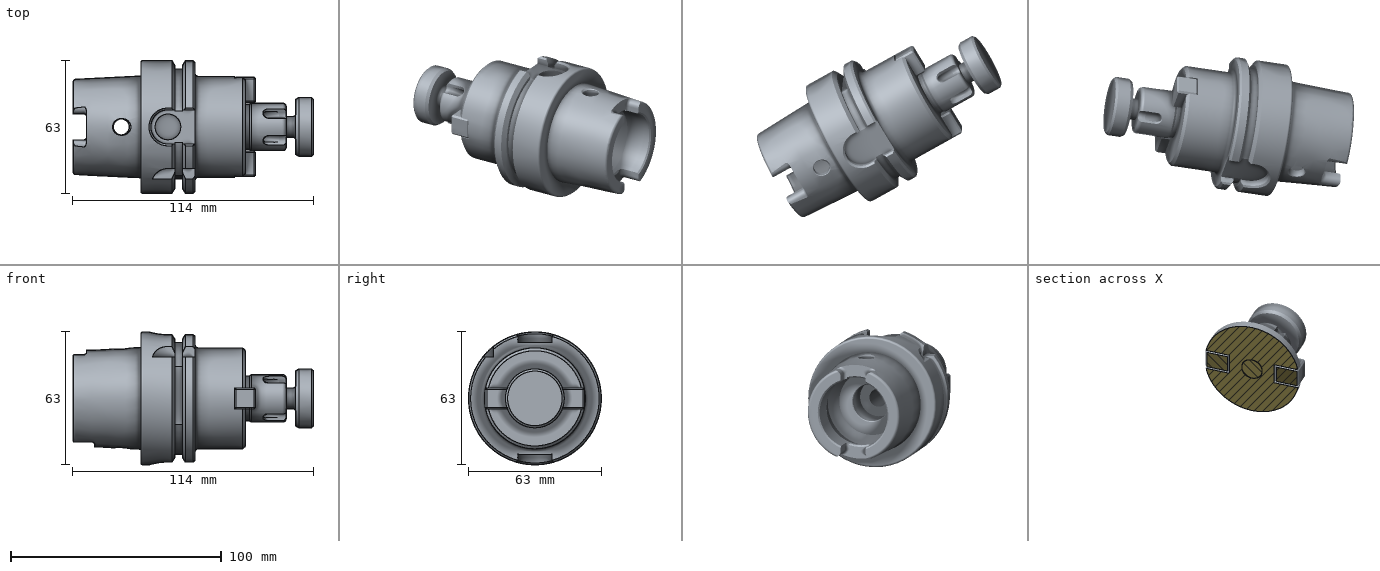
import cadquery as cq
import math

SHANK_LENGTH = 32.0
SHANK_BASE_RADIUS = 24.2
TAPER_SLOPE = 0.05
SHANK_MOUTH_RADIUS = SHANK_BASE_RADIUS - TAPER_SLOPE * SHANK_LENGTH
MOUTH_ROUNDING = 1.1
BORE_RADIUS = 16.8
BORE_MOUTH_CHAMFER = 0.7
BORE_LENGTH = 12.9
RECESS_RADIUS = 20.0
RECESS_FLOOR_RADIUS = 15.5
RECESS_FLOOR_X = 30.5
RECESS_CONE_LENGTH = RECESS_RADIUS - RECESS_FLOOR_RADIUS
TUBE_HOLE_RADIUS = 8.9
TUBE_HOLE_CHAMFER = 0.3
TUBE_HOLE_END_X = 43.3
CROSS_HOLE_X = 22.8
CROSS_HOLE_RADIUS = 3.8
CROSS_HOLE_CHAMFER = 0.6

DRIVE_SLOT_HALF_WIDTH = 6.2
DRIVE_SLOT_LIP_RADIUS = 2.6
DRIVE_SLOT_LIP_BASE = 18.1
DRIVE_SLOT_FLOOR_FILLET = 1.3
UPPER_SLOT_DEPTH = 6.3
LOWER_SLOT_DEPTH = 10.1

FLANGE_RADIUS = 31.52
FLANGE_FRONT_ROUNDING = 1.0
GROOVE_RADIUS = 27.6
GROOVE_LIP_RADIUS = 29.2
GROOVE_START_X = 48.2
GROOVE_END_X = 51.8
GROOVE_BEVEL = 1.5
FLANGE_END_X = 57.8
FLANGE_END_CHAMFER = 1.0
GROOVE_FLAT_DISTANCE = 23.9
GROOVE_FLAT_TILT = 3.2

POCKET_CENTRE_X = 44.9
POCKET_FLOOR_Z = 26.6
POCKET_RADIUS = 8.1
POCKET_CHAMFER = 0.9
RIM_ZONE_Z = 30.0
CHIP_HOLE_RADIUS = 6.1
CHIP_HOLE_DEPTH = 3.0
NOTCH_RADIUS = 8.0
NOTCH_DISTANCE = 19.7

HUB_RADIUS = 23.9
HUB_END_X = 81.7
HUB_CHAMFER = 1.4
HUB_FILLET = 1.6
SPIGOT_RADIUS = 11.3
SPIGOT_END_X = 101.0
SPIGOT_ROUNDING = 1.7
UNDERCUT_RADIUS = 10.7
UNDERCUT_LENGTH = 2.7
UNDERCUT_RAMP = 0.9

COOLANT_SLOT_ANGLE = 35.5
COOLANT_SLOT_HALF_ANGLE = 30.0
COOLANT_SLOT_BOTTOM_RADIUS = 2.0
COOLANT_SLOT_BOTTOM_DISTANCE = 10.3
COOLANT_SLOT_CENTRE_X = 92.8
COOLANT_SLOT_HEIGHT = 4.6
COOLANT_HOLE_TILT = 12.0
COOLANT_HOLE_LENGTH = 13.7
COOLANT_HOLE_BREAKOUT_X = 97.5

KEY_WIDTH = 10.0
KEY_START_X = 76.5
KEY_END_X = 86.5
KEY_INNER_Y = 11.4
KEY_OUTER_Y = 23.6
KEY_CHAMFER = 0.8

SCREW_LENGTH_END_X = 114.0
SCREW_HEAD_X = 105.5
SCREW_HEAD_RADIUS = 13.96
SCREW_HEAD_CHAMFER_LENGTH = 1.5
SCREW_HEAD_CHAMFER_DEPTH = 0.9
SCREW_HEAD_END_CHAMFER = 1.0
SCREW_NECK_RADIUS = 5.0
SCREW_NECK_FILLET = 1.1
SCREW_TIP_X = 70.7
CORE_HOLE_RADIUS = 4.28

CLEARANCE = 57.0
ARC_MID = math.sqrt(0.5)


def revolve_about_x(profile):
    """Turn a closed half profile, drawn as (x, radius), about the X axis."""
    return profile.close().revolve(360, (0, 0, 0), (1, 0, 0))


def turned_blank():
    """Shank, flange, hub and spigot as one turned solid without its bores."""
    fillet_offset = HUB_FILLET * (1 - ARC_MID)
    rounding_offset = SPIGOT_ROUNDING * (1 - ARC_MID)
    flange_offset = FLANGE_FRONT_ROUNDING * (1 - ARC_MID)
    mouth_offset = MOUTH_ROUNDING * (1 - ARC_MID)
    profile = (
        cq.Workplane("XY")
        .moveTo(0, 0)
        .lineTo(0, SHANK_MOUTH_RADIUS - MOUTH_ROUNDING)
        .threePointArc((mouth_offset, SHANK_MOUTH_RADIUS - mouth_offset),
                       (MOUTH_ROUNDING, SHANK_MOUTH_RADIUS + TAPER_SLOPE * MOUTH_ROUNDING))
        .lineTo(SHANK_LENGTH, SHANK_BASE_RADIUS)
        .lineTo(SHANK_LENGTH, FLANGE_RADIUS - FLANGE_FRONT_ROUNDING)
        .threePointArc((SHANK_LENGTH + flange_offset, FLANGE_RADIUS - flange_offset),
                       (SHANK_LENGTH + FLANGE_FRONT_ROUNDING, FLANGE_RADIUS))
        .lineTo(GROOVE_START_X - GROOVE_BEVEL, FLANGE_RADIUS)
        .lineTo(GROOVE_START_X, GROOVE_LIP_RADIUS)
        .lineTo(GROOVE_START_X, GROOVE_RADIUS)
        .lineTo(GROOVE_END_X, GROOVE_RADIUS)
        .lineTo(GROOVE_END_X, GROOVE_LIP_RADIUS)
        .lineTo(GROOVE_END_X + GROOVE_BEVEL, FLANGE_RADIUS)
        .lineTo(FLANGE_END_X - FLANGE_END_CHAMFER, FLANGE_RADIUS)
        .lineTo(FLANGE_END_X, FLANGE_RADIUS - FLANGE_END_CHAMFER)
        .lineTo(FLANGE_END_X, HUB_RADIUS + HUB_FILLET)
        .threePointArc((FLANGE_END_X + fillet_offset, HUB_RADIUS + fillet_offset),
                       (FLANGE_END_X + HUB_FILLET, HUB_RADIUS))
        .lineTo(HUB_END_X - HUB_CHAMFER, HUB_RADIUS)
        .lineTo(HUB_END_X, HUB_RADIUS - HUB_CHAMFER)
        .lineTo(HUB_END_X, UNDERCUT_RADIUS)
        .lineTo(HUB_END_X + UNDERCUT_LENGTH - UNDERCUT_RAMP, UNDERCUT_RADIUS)
        .lineTo(HUB_END_X + UNDERCUT_LENGTH, SPIGOT_RADIUS)
        .lineTo(SPIGOT_END_X - SPIGOT_ROUNDING, SPIGOT_RADIUS)
        .threePointArc((SPIGOT_END_X - rounding_offset, SPIGOT_RADIUS - rounding_offset),
                       (SPIGOT_END_X, SPIGOT_RADIUS - SPIGOT_ROUNDING))
        .lineTo(SPIGOT_END_X, 0)
    )
    return revolve_about_x(profile)


def bore_cutter():
    """Stepped bore from the shank mouth, and the screw hole from the spigot end."""
    profile = (
        cq.Workplane("XY")
        .moveTo(0, 0)
        .lineTo(0, BORE_RADIUS + BORE_MOUTH_CHAMFER)
        .lineTo(BORE_MOUTH_CHAMFER, BORE_RADIUS)
        .lineTo(BORE_LENGTH, BORE_RADIUS)
        .lineTo(BORE_LENGTH, RECESS_RADIUS)
        .lineTo(RECESS_FLOOR_X - RECESS_CONE_LENGTH, RECESS_RADIUS)
        .lineTo(RECESS_FLOOR_X, RECESS_FLOOR_RADIUS)
        .lineTo(RECESS_FLOOR_X, TUBE_HOLE_RADIUS + TUBE_HOLE_CHAMFER)
        .lineTo(RECESS_FLOOR_X + TUBE_HOLE_CHAMFER, TUBE_HOLE_RADIUS)
        .lineTo(TUBE_HOLE_END_X, TUBE_HOLE_RADIUS)
        .lineTo(TUBE_HOLE_END_X, CORE_HOLE_RADIUS)
        .lineTo(SCREW_TIP_X, CORE_HOLE_RADIUS)
        .lineTo(SCREW_TIP_X, SCREW_NECK_RADIUS)
        .lineTo(SPIGOT_END_X, SCREW_NECK_RADIUS)
        .lineTo(SPIGOT_END_X, 0)
    )
    return revolve_about_x(profile)


def cross_hole_cutter():
    """Hole across the shank along Z, with a chamfered rim at both ends."""
    surface = SHANK_MOUTH_RADIUS + TAPER_SLOPE * CROSS_HOLE_X
    hole = (
        cq.Workplane("XY", origin=(CROSS_HOLE_X, 0, -CLEARANCE))
        .circle(CROSS_HOLE_RADIUS)
        .extrude(2 * CLEARANCE)
    )
    for side in (1, -1):
        rim = cq.Solid.makeCone(
            CROSS_HOLE_RADIUS, CROSS_HOLE_RADIUS + 2 * CROSS_HOLE_CHAMFER, 2 * CROSS_HOLE_CHAMFER,
            cq.Vector(CROSS_HOLE_X, 0, side * (surface - CROSS_HOLE_CHAMFER)), cq.Vector(0, 0, side))
        hole = hole.union(cq.Workplane(rim))
    return hole


def drive_slot_cutter(depth):
    """Slot across the upper half of the shank mouth, its walls rounded out to flat lips."""
    wall_zone = cq.selectors.BoxSelector(
        (0, -CLEARANCE, DRIVE_SLOT_LIP_BASE / 4), (2 * depth, CLEARANCE, CLEARANCE / 2))
    lip_top = DRIVE_SLOT_LIP_BASE + DRIVE_SLOT_LIP_RADIUS
    flare = DRIVE_SLOT_HALF_WIDTH + DRIVE_SLOT_LIP_RADIUS
    mid_y = flare - DRIVE_SLOT_LIP_RADIUS * ARC_MID
    mid_z = DRIVE_SLOT_LIP_BASE + DRIVE_SLOT_LIP_RADIUS * ARC_MID
    slot = (
        cq.Workplane("YZ", origin=(-depth, 0, 0))
        .moveTo(-DRIVE_SLOT_HALF_WIDTH, 0)
        .lineTo(-DRIVE_SLOT_HALF_WIDTH, DRIVE_SLOT_LIP_BASE)
        .threePointArc((-mid_y, mid_z), (-flare, lip_top))
        .lineTo(-CLEARANCE, lip_top)
        .lineTo(-CLEARANCE, CLEARANCE)
        .lineTo(CLEARANCE, CLEARANCE)
        .lineTo(CLEARANCE, lip_top)
        .lineTo(flare, lip_top)
        .threePointArc((mid_y, mid_z), (DRIVE_SLOT_HALF_WIDTH, DRIVE_SLOT_LIP_BASE))
        .lineTo(DRIVE_SLOT_HALF_WIDTH, 0)
        .close()
        .extrude(2 * depth)
        .faces(">X")
        .edges(wall_zone)
        .fillet(DRIVE_SLOT_FLOOR_FILLET)
    )
    bore_edge = cq.Workplane(cq.Solid.makeCone(
        BORE_RADIUS + BORE_MOUTH_CHAMFER, BORE_RADIUS, BORE_MOUTH_CHAMFER,
        cq.Vector(depth, 0, 0), cq.Vector(1, 0, 0)))
    floor_width = 2 * (DRIVE_SLOT_HALF_WIDTH - DRIVE_SLOT_FLOOR_FILLET)
    floor_zone = cq.Workplane("XY").box(2 * CLEARANCE, floor_width, CLEARANCE, centered=(True, True, False))
    return slot.union(bore_edge.intersect(floor_zone))


def open_ended_slot(radius, centre_x, centre_y, floor_z, end_x):
    """Slot milled from above: round at its -X end, open at end_x."""
    return (
        cq.Workplane("XY", origin=(0, centre_y, floor_z))
        .moveTo(end_x, radius)
        .lineTo(centre_x, radius)
        .threePointArc((centre_x - radius, 0), (centre_x, -radius))
        .lineTo(end_x, -radius)
        .close()
        .extrude(CLEARANCE)
    )


def cut_flange_pocket(blank):
    """Mill the pocket on the +Z side and chamfer its rim on the outer face of the flange."""
    pocket = open_ended_slot(POCKET_RADIUS, POCKET_CENTRE_X, 0, POCKET_FLOOR_Z, FLANGE_END_X)
    rim_zone = cq.selectors.BoxSelector(
        (SHANK_LENGTH, -POCKET_RADIUS - POCKET_CHAMFER, RIM_ZONE_Z),
        (FLANGE_END_X - FLANGE_END_CHAMFER, POCKET_RADIUS + POCKET_CHAMFER, FLANGE_RADIUS))
    return blank.cut(pocket).edges(rim_zone).chamfer(POCKET_CHAMFER)


def chip_hole_cutter():
    return (
        cq.Workplane("XY", origin=(POCKET_CENTRE_X, 0, POCKET_FLOOR_Z - CHIP_HOLE_DEPTH))
        .circle(CHIP_HOLE_RADIUS)
        .extrude(CHIP_HOLE_DEPTH)
    )


def notch_cutter():
    """Corner notch through the flange between the -Y and +Z sides."""
    return open_ended_slot(NOTCH_RADIUS, POCKET_CENTRE_X, -NOTCH_DISTANCE - NOTCH_RADIUS,
                           NOTCH_DISTANCE, FLANGE_END_X)


def groove_flat_cutter():
    return cq.Workplane("XY").box(
        GROOVE_END_X - GROOVE_START_X, CLEARANCE, CLEARANCE, centered=(False, False, True)
    ).translate((GROOVE_START_X, -GROOVE_FLAT_DISTANCE - CLEARANCE, 0)).rotate(
        (0, 0, 0), (1, 0, 0), -GROOVE_FLAT_TILT)


def coolant_slot_half_section():
    """One half of the V section with its round bottom, drawn about the centre of the round."""
    slope = math.radians(COOLANT_SLOT_HALF_ANGLE)
    tangent_y = COOLANT_SLOT_BOTTOM_RADIUS * math.cos(slope)
    tangent_z = -COOLANT_SLOT_BOTTOM_RADIUS * math.sin(slope)
    arc_y = COOLANT_SLOT_BOTTOM_RADIUS * math.sin((math.pi / 2 - slope) / 2)
    arc_z = -COOLANT_SLOT_BOTTOM_RADIUS * math.cos((math.pi / 2 - slope) / 2)
    rim_y = tangent_y + (COOLANT_SLOT_HEIGHT - tangent_z) * math.tan(slope)
    return (
        cq.Workplane("YZ")
        .moveTo(0, -COOLANT_SLOT_BOTTOM_RADIUS)
        .threePointArc((arc_y, arc_z), (tangent_y, tangent_z))
        .lineTo(rim_y, COOLANT_SLOT_HEIGHT)
        .lineTo(0, COOLANT_SLOT_HEIGHT)
        .close()
    )


def coolant_slot_cutter():
    """One round-bottomed V slot near the +Z side, with a slanted feed hole in its floor."""
    half_run = coolant_slot_half_section().extrude(SPIGOT_END_X - COOLANT_SLOT_CENTRE_X)
    round_end = coolant_slot_half_section().revolve(360, (0, 0, 0), (0, 1, 0))
    tilt = math.radians(COOLANT_HOLE_TILT)
    feed_hole = cq.Workplane(cq.Solid.makeCylinder(
        COOLANT_SLOT_BOTTOM_RADIUS, COOLANT_HOLE_LENGTH,
        cq.Vector(COOLANT_HOLE_BREAKOUT_X - COOLANT_SLOT_CENTRE_X, 0, 0),
        cq.Vector(-math.cos(tilt), 0, -math.sin(tilt))))
    slot = half_run.union(half_run.mirror("XZ")).union(round_end).union(feed_hole)
    slot = slot.translate((COOLANT_SLOT_CENTRE_X, 0, COOLANT_SLOT_BOTTOM_DISTANCE))
    return slot.rotate((0, 0, 0), (1, 0, 0), COOLANT_SLOT_ANGLE)


def keyway_cutter():
    """Keyway across the hub face on the +Y side, exactly as wide as the key."""
    return cq.Workplane("XY").box(
        HUB_END_X - KEY_START_X, CLEARANCE, KEY_WIDTH, centered=(False, False, True)
    ).translate((KEY_START_X, KEY_INNER_Y, 0))


def make_holder():
    holder = cut_flange_pocket(turned_blank())
    holder = cut_flange_pocket(holder.mirror("XY")).mirror("XY")
    holder = holder.cut(chip_hole_cutter()).cut(notch_cutter()).cut(groove_flat_cutter())
    holder = holder.cut(bore_cutter()).cut(cross_hole_cutter())
    holder = holder.cut(drive_slot_cutter(UPPER_SLOT_DEPTH))
    holder = holder.cut(drive_slot_cutter(LOWER_SLOT_DEPTH).mirror("XY"))
    upper_slots = coolant_slot_cutter().union(coolant_slot_cutter().mirror("XZ"))
    holder = holder.cut(upper_slots).cut(upper_slots.mirror("XY"))
    return holder.cut(keyway_cutter()).cut(keyway_cutter().mirror("XZ"))


def make_key(turn):
    """Drive key, chamfered all round and turned about X to its side of the hub."""
    return (
        cq.Workplane("XY")
        .box(KEY_END_X - KEY_START_X, KEY_OUTER_Y - KEY_INNER_Y, KEY_WIDTH, centered=(False, False, True))
        .edges()
        .chamfer(KEY_CHAMFER)
        .translate((KEY_START_X, KEY_INNER_Y, 0))
        .rotate((0, 0, 0), (1, 0, 0), turn)
    )


def make_screw():
    fillet_offset = SCREW_NECK_FILLET * (1 - ARC_MID)
    profile = (
        cq.Workplane("XY")
        .moveTo(SCREW_TIP_X, 0)
        .lineTo(SCREW_TIP_X, SCREW_NECK_RADIUS)
        .lineTo(SCREW_HEAD_X - SCREW_NECK_FILLET, SCREW_NECK_RADIUS)
        .threePointArc((SCREW_HEAD_X - fillet_offset, SCREW_NECK_RADIUS + fillet_offset),
                       (SCREW_HEAD_X, SCREW_NECK_RADIUS + SCREW_NECK_FILLET))
        .lineTo(SCREW_HEAD_X, SCREW_HEAD_RADIUS - SCREW_HEAD_CHAMFER_DEPTH)
        .lineTo(SCREW_HEAD_X + SCREW_HEAD_CHAMFER_LENGTH, SCREW_HEAD_RADIUS)
        .lineTo(SCREW_LENGTH_END_X - SCREW_HEAD_END_CHAMFER, SCREW_HEAD_RADIUS)
        .lineTo(SCREW_LENGTH_END_X, SCREW_HEAD_RADIUS - SCREW_HEAD_END_CHAMFER)
        .lineTo(SCREW_LENGTH_END_X, 0)
    )
    return revolve_about_x(profile)


holder = make_holder()
keys = [make_key(turn).val() for turn in (0, 180)]
screw = make_screw()

result = cq.Compound.makeCompound([holder.val(), *keys, screw.val()])